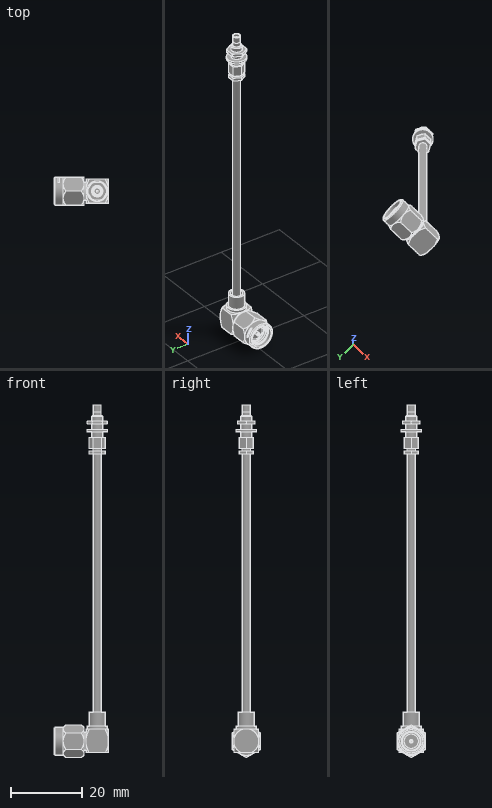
import cadquery as cq
import math


CABLE_DIAMETER = 2.3

ELBOW_WIDTH_X = 6.28
ELBOW_WIDTH_Y = 6.9
ELBOW_BOTTOM = -3.2
ELBOW_TOP = 3.4
ELBOW_CORNER_BEVEL = 0.9
ELBOW_FACE_RADIUS = 3.5
COLLAR_DIAMETER = 5.7
COLLAR_TOP = 4.25
FERRULE_DIAMETER = 4.6
FERRULE_TOP = 8.2
FERRULE_BORE = 3.4
NECK_DIAMETER = 5.1
SLEEVE_DIAMETER = 5.0
INSULATOR_DIAMETER = 4.0

NUT_FLATS = 7.94
NUT_FRONT = -12.1
NUT_REAR = -3.7
NUT_HEX_FRONT = -9.55
NUT_BEVEL = 0.75
NUT_RIM_CHAMFER = 0.3
NUT_BORE = 5.6
NUT_REAR_WALL = 1.5
NUT_COUNTERBORE = 6.5
NUT_COUNTERBORE_DEPTH = 1.2
THREAD_MAJOR_DIAMETER = 6.35
THREAD_PITCH = 0.706
THREAD_START = NUT_FRONT + NUT_COUNTERBORE_DEPTH
THREAD_GROOVES = 6
WIRE_GROOVE_DIAMETER = 0.5
WIRE_GROOVE_X = -10.8
WIRE_GROOVE_RADIUS = 3.9
WIRE_GROOVE_ANGLE = 60

MATING_FACE = -9.6
PIN_DIAMETER = 0.92
PIN_TIP = -10.9
PIN_CHAMFER = 0.25

JACK_TOP = 94.425
JACK_TUBE_BASE = 91.4
JACK_TUBE_DIAMETER = 2.25
JACK_BORE_DIAMETER = 1.8
JACK_BORE_DEPTH = 2.0
JACK_PIN_DIAMETER = 0.5
JACK_PIN_LENGTH = 1.5
JACK_BARREL_DIAMETER = 3.2
JACK_BARREL_CHAMFER = 0.3
JACK_HEX_FLATS = 4.0
JACK_HEX_TOP = 85.3
JACK_HEX_BOTTOM = 82.15
JACK_GROOVE_DIAMETER = 2.45
JACK_RING_TOP = 81.5
JACK_RING_BOTTOM = 80.6
CABLE_TOP = (JACK_RING_BOTTOM + JACK_RING_TOP) / 2

LOCKNUT_FLATS = 5.0
LOCKNUT_BOTTOM = 89.0
LOCKNUT_THICKNESS = 0.9
LOCKNUT_BEVEL_RADIAL = 0.25
LOCKNUT_BEVEL_AXIAL = 0.15
WASHER_DIAMETER = 5.8
WASHER_BOTTOM = 86.85
WASHER_THICKNESS = 0.65


def rod_z(diameter, bottom, top):
    """Round rod on the cable axis."""
    return cq.Workplane("XY").workplane(offset=bottom).circle(diameter / 2).extrude(top - bottom)


def rod_x(diameter, start, end):
    """Round rod on the plug axis."""
    return cq.Workplane("YZ").workplane(offset=start).circle(diameter / 2).extrude(end - start)


def hex_corners(flats):
    """Width across the corners of a hexagon."""
    return flats / math.cos(math.pi / 6)


def hex_z(flats, bottom, top):
    """Hexagonal bar on the cable axis, with corners on +X and -X."""
    outline = cq.Workplane("XY").workplane(offset=bottom).polygon(6, hex_corners(flats))
    return outline.extrude(top - bottom)


def turned_envelope_x(end_radius, full_radius, start, end, bevel):
    """Round bar on the plug axis, coned at both ends, that bevels the corners of what it trims."""
    return (
        cq.Workplane("XY")
        .moveTo(start, 0)
        .lineTo(start, end_radius)
        .lineTo(start + bevel, full_radius)
        .lineTo(end - bevel, full_radius)
        .lineTo(end, end_radius)
        .lineTo(end, 0)
        .close()
        .revolve(360, (0, 0, 0), (1, 0, 0))
    )


def make_elbow():
    half_x = ELBOW_WIDTH_X / 2
    block = cq.Workplane("XY").workplane(offset=ELBOW_BOTTOM)
    block = block.rect(ELBOW_WIDTH_X, ELBOW_WIDTH_Y).extrude(ELBOW_TOP - ELBOW_BOTTOM)
    corner_radius = math.hypot(ELBOW_WIDTH_Y / 2, ELBOW_TOP)
    block = block.intersect(
        turned_envelope_x(ELBOW_FACE_RADIUS, corner_radius, -half_x, half_x, ELBOW_CORNER_BEVEL)
    )
    collar = rod_z(COLLAR_DIAMETER, 0, COLLAR_TOP)
    ferrule = rod_z(FERRULE_DIAMETER, 0, FERRULE_TOP)
    neck = rod_x(NECK_DIAMETER, NUT_REAR - NUT_REAR_WALL, 0)
    sleeve = rod_x(SLEEVE_DIAMETER, MATING_FACE, 0)
    body = block.union(collar).union(ferrule).union(neck).union(sleeve)
    body = body.cut(rod_x(INSULATOR_DIAMETER, MATING_FACE, -half_x))
    body = body.cut(rod_z(CABLE_DIAMETER, ELBOW_TOP, COLLAR_TOP))
    return body.cut(rod_z(FERRULE_BORE, COLLAR_TOP, FERRULE_TOP))


def make_plug_contact():
    """Insulator that fills the sleeve, with the centre pin standing out of it."""
    insulator = rod_x(INSULATOR_DIAMETER, MATING_FACE, -ELBOW_WIDTH_X / 2)
    pin = rod_x(PIN_DIAMETER, PIN_TIP, MATING_FACE).faces("<X").chamfer(PIN_CHAMFER)
    return insulator.union(pin)


def thread_groove(middle):
    """V-shaped ring that cuts one turn of the nut's thread, centred at X = middle."""
    return (
        cq.Workplane("XY")
        .moveTo(middle - THREAD_PITCH / 2, 0)
        .lineTo(middle - THREAD_PITCH / 2, NUT_BORE / 2)
        .lineTo(middle, THREAD_MAJOR_DIAMETER / 2)
        .lineTo(middle + THREAD_PITCH / 2, NUT_BORE / 2)
        .lineTo(middle + THREAD_PITCH / 2, 0)
        .close()
        .revolve(360, (0, 0, 0), (1, 0, 0))
    )


def wire_groove():
    """Round-bottomed groove cut tangentially across the rim of the nut."""
    groove = cq.Workplane("XZ").center(WIRE_GROOVE_X, WIRE_GROOVE_RADIUS)
    groove = groove.circle(WIRE_GROOVE_DIAMETER / 2).extrude(NUT_FLATS / 2, both=True)
    return groove.rotate((0, 0, 0), (1, 0, 0), -WIRE_GROOVE_ANGLE)


def make_coupling_nut():
    flats_radius = NUT_FLATS / 2
    corner_diameter = hex_corners(NUT_FLATS)
    hexagon = cq.Workplane("YZ").workplane(offset=NUT_HEX_FRONT).polygon(6, corner_diameter)
    hexagon = hexagon.extrude(NUT_REAR - NUT_HEX_FRONT).rotate((0, 0, 0), (1, 0, 0), 90)
    hexagon = hexagon.intersect(
        turned_envelope_x(flats_radius, corner_diameter / 2, NUT_HEX_FRONT, NUT_REAR, NUT_BEVEL)
    )
    rim = rod_x(NUT_FLATS, NUT_FRONT, NUT_HEX_FRONT).faces("<X").chamfer(NUT_RIM_CHAMFER)
    nut = hexagon.union(rim)
    nut = nut.cut(rod_x(NUT_BORE, NUT_FRONT, NUT_REAR - NUT_REAR_WALL))
    nut = nut.cut(rod_x(NUT_COUNTERBORE, NUT_FRONT, NUT_FRONT + NUT_COUNTERBORE_DEPTH))
    nut = nut.cut(rod_x(NECK_DIAMETER, NUT_FRONT, NUT_REAR))
    for index in range(THREAD_GROOVES):
        nut = nut.cut(thread_groove(THREAD_START + (index + 0.5) * THREAD_PITCH))
    return nut.cut(wire_groove())


def make_cable():
    return rod_z(CABLE_DIAMETER, ELBOW_TOP, CABLE_TOP)


def make_jack():
    tube = rod_z(JACK_TUBE_DIAMETER, JACK_TUBE_BASE, JACK_TOP)
    barrel = rod_z(JACK_BARREL_DIAMETER, JACK_HEX_TOP, JACK_TUBE_BASE)
    barrel = barrel.faces(">Z").chamfer(JACK_BARREL_CHAMFER)
    wrench_hex = hex_z(JACK_HEX_FLATS, JACK_HEX_BOTTOM, JACK_HEX_TOP)
    groove = rod_z(JACK_GROOVE_DIAMETER, JACK_RING_TOP, JACK_HEX_BOTTOM)
    rear_ring = hex_z(JACK_HEX_FLATS, JACK_RING_BOTTOM, JACK_RING_TOP)
    body = barrel.union(tube).union(wrench_hex).union(groove).union(rear_ring)
    body = body.cut(rod_z(JACK_BORE_DIAMETER, JACK_TOP - JACK_BORE_DEPTH, JACK_TOP))
    pin_base = JACK_TOP - JACK_BORE_DEPTH
    body = body.union(rod_z(JACK_PIN_DIAMETER, pin_base, pin_base + JACK_PIN_LENGTH))
    return body.cut(rod_z(CABLE_DIAMETER, JACK_RING_BOTTOM, CABLE_TOP))


def make_locknut():
    corner_diameter = hex_corners(LOCKNUT_FLATS)
    top = LOCKNUT_BOTTOM + LOCKNUT_THICKNESS
    envelope = rod_z(corner_diameter, LOCKNUT_BOTTOM, top)
    envelope = envelope.faces("<Z or >Z").chamfer(LOCKNUT_BEVEL_AXIAL, LOCKNUT_BEVEL_RADIAL)
    nut = hex_z(LOCKNUT_FLATS, LOCKNUT_BOTTOM, top).intersect(envelope)
    return nut.cut(rod_z(JACK_BARREL_DIAMETER, LOCKNUT_BOTTOM, top))


def make_washer():
    top = WASHER_BOTTOM + WASHER_THICKNESS
    disc = rod_z(WASHER_DIAMETER, WASHER_BOTTOM, top)
    return disc.cut(rod_z(JACK_BARREL_DIAMETER, WASHER_BOTTOM, top))


elbow = make_elbow()
plug_contact = make_plug_contact()
coupling_nut = make_coupling_nut()
cable = make_cable()
jack = make_jack()
locknut = make_locknut()
washer = make_washer()

result = cq.Compound.makeCompound(
    [
        elbow.val(),
        plug_contact.val(),
        coupling_nut.val(),
        cable.val(),
        jack.val(),
        locknut.val(),
        washer.val(),
    ]
)